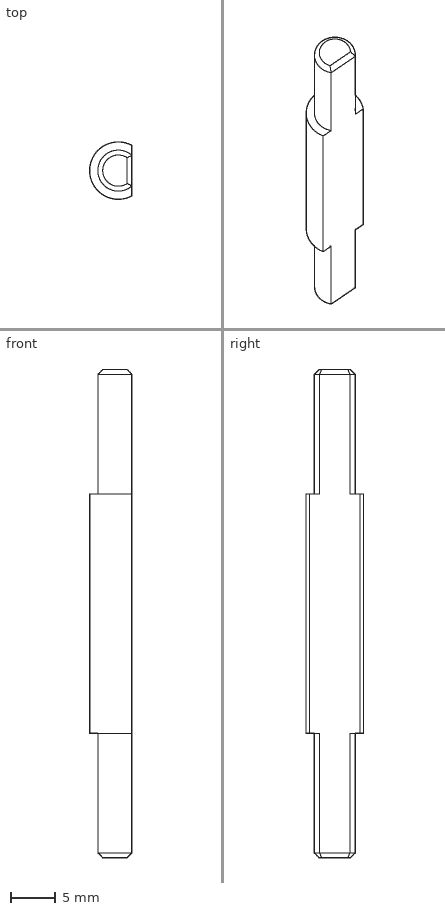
import cadquery as cq

length = 55.0
body_diameter = 6.5
flat_width = 4.8

journal_diameter = 4.6
journal_length = 14.0
end_chamfer = 0.55

body_radius = body_diameter / 2
body_length = length - 2 * journal_length
flat_x = flat_width - body_radius


def cylinder(diameter, height):
    """Round bar along Z, centred on the origin."""
    return cq.Workplane("XY").circle(diameter / 2).extrude(height / 2, both=True)


journals = cylinder(journal_diameter, length)
body = cylinder(body_diameter, body_length)
round_pin = journals.union(body)

kept_half = cq.Workplane("XY").box(flat_width, body_diameter, length).translate(
    (flat_x - flat_width / 2, 0, 0)
)
flatted_pin = round_pin.intersect(kept_half)

result = flatted_pin.faces("<Z or >Z").chamfer(end_chamfer)